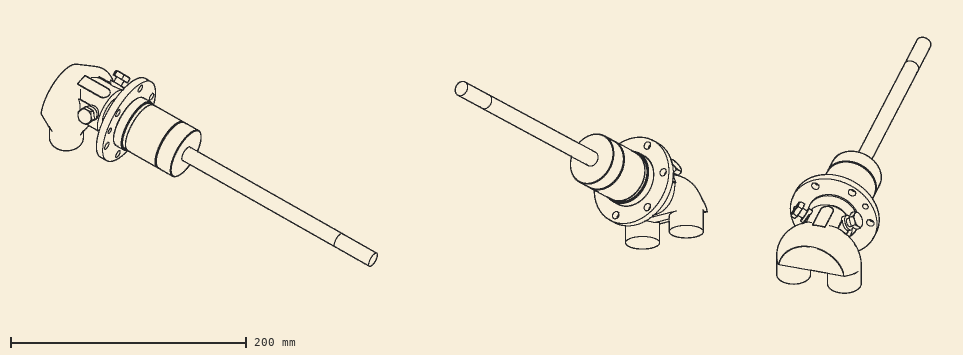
import cadquery as cq
import math


port_dia = 29.0
port_radius = port_dia / 2
port_spacing = 45.0
port_x = 21.9
port_bottom_z = -35.8
ring_axis_z = -17.0
ring_radius = port_spacing / 2
taper_angle = 21.0
face_bottom_z = -12.0
web_bottom_z = -21.5
face_edge_fillet = 0.4

neck_dia = 40.2
neck_end_x = 52.4

pad_width = 11.0
pad_height = 20.3
pad_start_x = 21.2
pad_end_x = 50.2
plug_angle = 60.0

plug_x = 44.8
plug_collar_dia = 13.0
plug_collar_top = 22.6
shank_dia = 7.32
hex_flats = 13.0
hex_bottom = 27.6
hex_top = 32.3
hex_crown_dia = 12.9
hex_crown_depth = 1.0

shaft_dia = 25.0
pilot_start_x = 62.7
pilot_dia = 44.8
flange_start_x = 64.5
flange_end_x = 71.2
flange_dia = 77.0
rotor_collar_end_x = 80.2
rotor_collar_dia = 46.8
relief_end_x = 83.3
relief_dia = 44.0
body_dia = 44.8
groove_start_x = 114.3
groove_end_x = 115.3
groove_dia = 43.8
rotor_end_x = 130.8
rotor_edge_chamfer = 0.6

bolt_count = 6
bolt_hole_dia = 6.5
bolt_circle_dia = 65.0
jack_hole_dia = 4.92
jack_hole_angle = 60.0

tube_dia = 13.0
tube_tip_dia = 12.9
tube_tip_start_x = 290.0
tube_end_x = 326.0


def x_cylinder(diameter, start_x, end_x):
    """Cylinder on the main axis between two X positions."""
    return cq.Workplane("YZ", origin=(start_x, 0, 0)).circle(diameter / 2).extrude(end_x - start_x)


def z_cylinder(diameter, x, y, bottom_z, top_z):
    """Vertical cylinder between two heights."""
    return cq.Workplane("XY", origin=(x, y, bottom_z)).circle(diameter / 2).extrude(top_z - bottom_z)


def tilted(shape, angle):
    """Turn a shape about the main axis; positive angles go toward -Y."""
    return shape.rotate((0, 0, 0), (1, 0, 0), angle)


def make_dome():
    """Half-ring elbow with a tapered front, cut by the sloping underside."""
    slope = math.radians(taper_angle)
    diagonal = math.radians(45)
    tangent_x = port_x - port_radius * math.sin(slope)
    tangent_r = ring_radius + port_radius * math.cos(slope)
    face_r = tangent_r - tangent_x * math.tan(slope)
    back_x = port_x + port_radius
    arc_mid = (port_x + port_radius * math.sin(diagonal), ring_radius + port_radius * math.cos(diagonal))

    profile = (
        cq.Workplane("XY", origin=(0, 0, ring_axis_z))
        .lineTo(0, face_r)
        .lineTo(tangent_x, tangent_r)
        .threePointArc(arc_mid, (back_x, ring_radius))
        .lineTo(back_x, 0)
        .close()
    )
    ring = profile.revolve(180, (0, 0, 0), (1, 0, 0))

    web_height = ring_axis_z - web_bottom_z
    web = (
        cq.Workplane("XY", origin=(0, 0, web_bottom_z))
        .rect(back_x, port_spacing)
        .extrude(web_height)
        .translate((back_x / 2, 0, 0))
    )

    underside_run = (face_bottom_z - web_bottom_z) / math.tan(slope)
    underside = (
        cq.Workplane("XZ")
        .polyline([(0, face_bottom_z), (underside_run, web_bottom_z), (0, web_bottom_z)])
        .close()
        .extrude(port_spacing, both=True)
    )
    dome = ring.union(web)
    for side in (-1, 1):
        y = side * ring_radius
        dome = dome.union(z_cylinder(port_dia, port_x, y, port_bottom_z, ring_axis_z))
        underside = underside.cut(z_cylinder(port_dia, port_x, y, port_bottom_z, face_bottom_z))
    dome = dome.cut(underside)
    return dome.faces("<X").edges().fillet(face_edge_fillet)


def make_pad():
    """Upright raised pad, square at the dome and rounded at the neck end."""
    half_width = pad_width / 2
    round_x = pad_end_x - half_width
    return (
        cq.Workplane("XY")
        .moveTo(pad_start_x, -half_width)
        .lineTo(round_x, -half_width)
        .threePointArc((pad_end_x, 0), (round_x, half_width))
        .lineTo(pad_start_x, half_width)
        .close()
        .extrude(pad_height)
    )


def make_plug():
    """Upright hex plug: round collar, thin shank and chamfered hex head."""
    collar = z_cylinder(plug_collar_dia, plug_x, 0, 0, plug_collar_top)
    shank = z_cylinder(shank_dia, plug_x, 0, 0, hex_bottom)
    hex_corners = hex_flats / math.cos(math.radians(30))
    head = (
        cq.Workplane("XY", origin=(plug_x, 0, hex_bottom))
        .polygon(6, hex_corners)
        .extrude(hex_top - hex_bottom)
    )
    crown_r = hex_crown_dia / 2
    corner_r = hex_corners / 2
    head_envelope = (
        cq.Workplane("XZ")
        .moveTo(0, hex_bottom)
        .lineTo(corner_r, hex_bottom)
        .lineTo(corner_r, hex_top - hex_crown_depth)
        .lineTo(crown_r, hex_top)
        .lineTo(0, hex_top)
        .close()
        .revolve(360, (0, 0, 0), (0, 1, 0))
        .translate((plug_x, 0, 0))
    )
    return collar.union(shank).union(head.intersect(head_envelope))


def make_housing():
    neck = x_cylinder(neck_dia, port_x, neck_end_x)
    housing = make_dome().union(neck)
    for angle in (-plug_angle, 0, plug_angle):
        housing = housing.union(tilted(make_pad(), angle))
    for angle in (-plug_angle, plug_angle):
        housing = housing.union(tilted(make_plug(), angle))
    return housing


def flange_hole(diameter, angle):
    """Cutter through the flange on the bolt circle, angle taken from vertical toward -Y."""
    hole = x_cylinder(diameter, flange_start_x, flange_end_x)
    return tilted(hole.translate((0, 0, bolt_circle_dia / 2)), angle)


def make_rotor():
    rotor = x_cylinder(body_dia, relief_end_x, rotor_end_x).faces(">X").chamfer(rotor_edge_chamfer)
    collar = x_cylinder(rotor_collar_dia, flange_end_x, rotor_collar_end_x)
    collar = collar.edges("%CIRCLE").chamfer(rotor_edge_chamfer)
    rotor = rotor.union(collar)
    steps = [
        (shaft_dia, neck_end_x, pilot_start_x),
        (pilot_dia, pilot_start_x, flange_start_x),
        (flange_dia, flange_start_x, flange_end_x),
        (relief_dia, flange_end_x, relief_end_x),
    ]
    for diameter, start_x, end_x in steps:
        rotor = rotor.union(x_cylinder(diameter, start_x, end_x))

    groove = x_cylinder(flange_dia, groove_start_x, groove_end_x)
    groove = groove.cut(x_cylinder(groove_dia, groove_start_x, groove_end_x))
    rotor = rotor.cut(groove)

    bolt_step = 360 / bolt_count
    for index in range(bolt_count):
        rotor = rotor.cut(flange_hole(bolt_hole_dia, bolt_step * (index + 0.5)))
    rotor = rotor.cut(flange_hole(jack_hole_dia, jack_hole_angle))

    tube_bore = x_cylinder(tube_dia, neck_end_x, rotor_end_x)
    return rotor.cut(tube_bore)


def make_siphon_tube():
    """Tube through the rotor, from the housing's neck to the slimmer tip."""
    tube = x_cylinder(tube_dia, neck_end_x, tube_tip_start_x)
    return tube.union(x_cylinder(tube_tip_dia, tube_tip_start_x, tube_end_x))


housing = make_housing()
rotor = make_rotor()
siphon_tube = make_siphon_tube()

result = cq.Compound.makeCompound([housing.val(), rotor.val(), siphon_tube.val()])